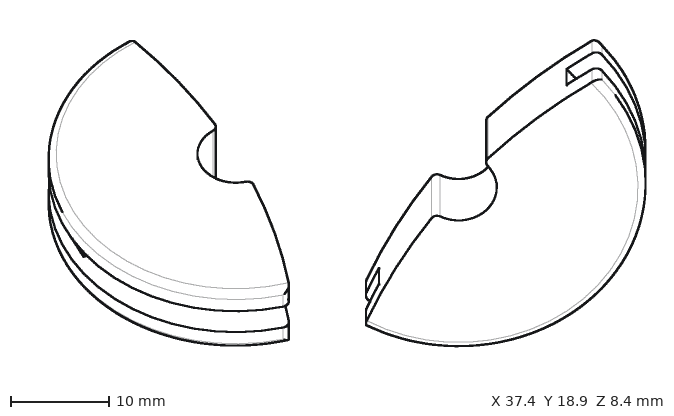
import cadquery as cq
import math

height = 8.4
rim_radius = 19.05
hub_radius = 15.25
notch_radius = 3.9
back_radius = 62.55
groove_height = 3.22
tab_width = 2.6
tab_reach = 17.8
edge_round = 0.8
notch_round = 0.67


def disc(radius, thickness):
    """Vertical cylinder centred on the origin."""
    return cq.Workplane("XY").circle(radius).extrude(thickness / 2, both=True)


def crowned_segment():
    """Notched segment between the rim and the back arc, with rounded edges."""
    corner_y = -rim_radius**2 / (2 * back_radius)
    corner_x = math.sqrt(rim_radius**2 - corner_y**2)
    body = (
        cq.Workplane("XY")
        .moveTo(-corner_x, corner_y)
        .threePointArc((0, -rim_radius), (corner_x, corner_y))
        .threePointArc((0, 0), (-corner_x, corner_y))
        .close()
        .extrude(height / 2, both=True)
    )
    body = body.edges("|Z").fillet(edge_round).cut(disc(notch_radius, height))
    notch_corners = cq.selectors.BoxSelector(
        (-notch_radius - 0.37, -notch_radius / 2, -height),
        (notch_radius + 0.37, 0.37, height),
    )
    body = body.edges("|Z").edges(notch_corners).fillet(notch_round)
    rounded_rim = disc(rim_radius, height).edges("%CIRCLE").fillet(edge_round)
    return body.intersect(rounded_rim)


def groove():
    """Channel around the hub, leaving the front tab standing on the hub."""
    tab = cq.Workplane("XY").box(
        tab_width, tab_reach, groove_height, centered=(True, False, True)
    ).translate((0, -tab_reach, 0))
    core = disc(hub_radius, groove_height).union(tab)
    return disc(rim_radius + 0.37, groove_height).cut(core)


result = crowned_segment().cut(groove())